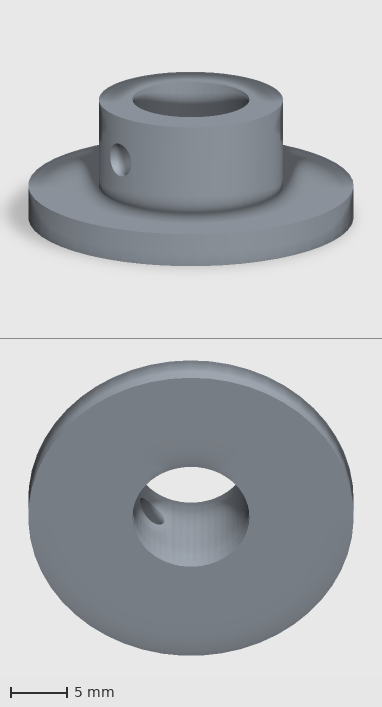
import cadquery as cq

flange_diameter = 29.0
flange_thickness = 3.0
hub_diameter = 16.4
hub_height = 8.0
bore_diameter = 10.4
cross_hole_diameter = 3.0

total_height = flange_thickness + hub_height
cross_hole_height = flange_thickness + hub_height / 2

flange = cq.Workplane("XY").circle(flange_diameter / 2).extrude(flange_thickness)
hub = cq.Workplane("XY").circle(hub_diameter / 2).extrude(total_height)

bore = cq.Workplane("XY").circle(bore_diameter / 2).extrude(total_height)

cross_hole = (
    cq.Workplane("XZ")
    .center(0, cross_hole_height)
    .circle(cross_hole_diameter / 2)
    .extrude(hub_diameter / 2, both=True)
)

result = flange.union(hub).cut(bore).cut(cross_hole)